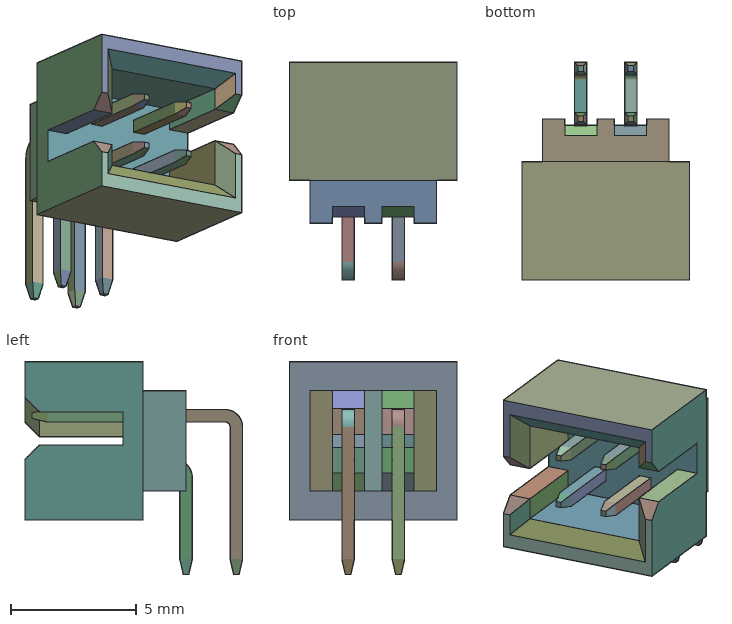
import cadquery as cq
import math


shroud_width = 6.65
shroud_length = 4.7
shroud_height = 6.3
floor_thickness = 0.805
side_wall = 0.88
cavity_height = 4.0
lead_in = 0.59
cavity_width = shroud_width - 2 * side_wall

slot_height = 1.3
slot_offset = 0.49

block_length = 1.7
block_width = 5.03
block_height = cavity_height

groove_width = 1.28
groove_web = 0.69
groove_depth = 0.67
ridge_depth = 0.25
gap_depth = 0.485
ridge_gap = 0.51
ridge_face = 1.03

pitch = 2.0
pin = 0.5
pin_centre = pin / 2
bend_outer = 0.7
bend_inner = bend_outer - pin
tip_length = 0.605
tip_width = 0.225
pin_inset = 0.29
leg_drop = 2.16


def box(width, y_min, y_max, height):
    """Box centred on X and Z between two Y planes."""
    return (
        cq.Workplane("XY")
        .box(width, y_max - y_min, height, centered=(True, False, True))
        .translate((0, y_min, 0))
    )


def rect_loft(y_start, size_start, y_end, size_end):
    """Taper along Y between two centred rectangles, each given as (width, height)."""
    return (
        cq.Workplane("XZ", origin=(0, y_start, 0))
        .rect(*size_start)
        .workplane(offset=y_start - y_end)
        .rect(*size_end)
        .loft(ruled=True)
    )


def make_cavity():
    """Rectangular pocket with a lead-in all round its mouth."""
    pocket = box(cavity_width, floor_thickness, shroud_length, cavity_height)
    mouth = rect_loft(
        shroud_length - lead_in,
        (cavity_width, cavity_height),
        shroud_length,
        (cavity_width + 2 * lead_in, cavity_height + 2 * lead_in),
    )
    return pocket.union(mouth)


def make_key_slot(side):
    """Slot through one side wall (side = -1 or 1), flared at the mouth."""
    half = slot_height / 2
    flare_start = shroud_length - lead_in
    return (
        cq.Workplane("YZ")
        .moveTo(floor_thickness, -half)
        .lineTo(flare_start, -half)
        .lineTo(shroud_length, -half - lead_in)
        .lineTo(shroud_length, half + lead_in)
        .lineTo(flare_start, half)
        .lineTo(floor_thickness, half)
        .close()
        .extrude(side * shroud_width)
        .translate((0, 0, -side * slot_offset))
    )


def make_groove(x_centre):
    """Full-height groove whose floor carries two bevelled ridges."""
    rear = -block_length
    floor = rear + groove_depth
    ridge = rear + ridge_depth
    notch = rear + gap_depth
    top = block_height / 2
    gap = ridge_gap / 2
    face_end = gap + ridge_face
    return (
        cq.Workplane("YZ", origin=(x_centre - groove_width / 2, 0, 0))
        .polyline([
            (rear, -top),
            (floor, -top),
            (ridge, -face_end),
            (ridge, -gap),
            (notch, -gap),
            (notch, gap),
            (ridge, gap),
            (ridge, face_end),
            (floor, top),
            (rear, top),
        ])
        .close()
        .extrude(groove_width)
    )


def make_pin(x, leg_y, row_z):
    """Square pin from the cavity through the block, bent down, pointed at both ends."""
    arc_45 = math.sqrt(0.5)
    rear = leg_y - pin_centre
    front = leg_y + pin_centre
    top = row_z + pin_centre
    bottom = row_z - pin_centre
    bend_y = rear + bend_outer
    bend_z = top - bend_outer
    contact_tip = shroud_length - pin_inset
    contact_end = contact_tip - tip_length
    leg_tip = -shroud_height / 2 - leg_drop
    leg_end = leg_tip + tip_length
    body = (
        cq.Workplane("YZ", origin=(x - pin_centre, 0, 0))
        .moveTo(contact_end, top)
        .lineTo(bend_y, top)
        .threePointArc(
            (bend_y - bend_outer * arc_45, bend_z + bend_outer * arc_45), (rear, bend_z)
        )
        .lineTo(rear, leg_end)
        .lineTo(front, leg_end)
        .lineTo(front, bend_z)
        .threePointArc(
            (bend_y - bend_inner * arc_45, bend_z + bend_inner * arc_45), (bend_y, bottom)
        )
        .lineTo(contact_end, bottom)
        .close()
        .extrude(pin)
    )
    contact_point = rect_loft(
        contact_end, (pin, pin), contact_tip, (tip_width, tip_width)
    ).translate((x, 0, row_z))
    leg_point = (
        cq.Workplane("XY", origin=(x, leg_y, leg_end))
        .rect(pin, pin)
        .workplane(offset=-tip_length)
        .rect(tip_width, tip_width)
        .loft(ruled=True)
    )
    return body.union(contact_point).union(leg_point)


result = box(shroud_width, 0, shroud_length, shroud_height)
result = result.cut(make_cavity())
result = result.union(box(block_width, -block_length, 0, block_height))
for side in (-1, 1):
    result = result.cut(make_key_slot(side))
    result = result.cut(make_groove(side * (groove_web + groove_width) / 2))

for side in (-1, 1):
    pin_x = side * pitch / 2
    result = result.union(make_pin(pin_x, -block_length - pitch, pitch / 2))
    result = result.union(make_pin(pin_x, -block_length, -pitch / 2))